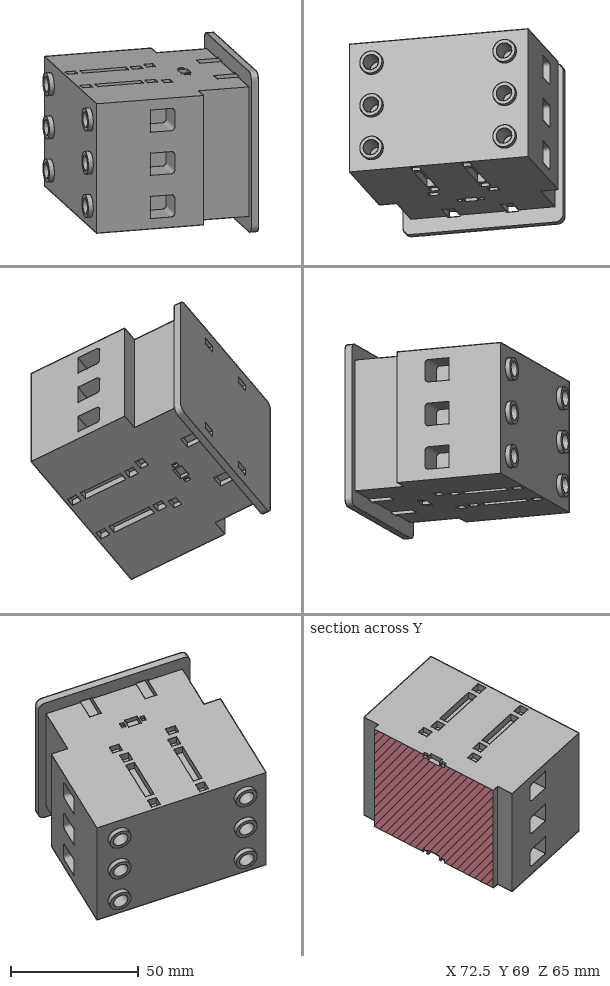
import cadquery as cq


flange_size = 65.0
flange_thickness = 2.95
flange_corner_radius = 3.0

body_width = 72.5
body_height = 52.5
neck_width = 58.4
neck_end = 23.5
block_end = 67.0
body_top = body_height / 2

terminal_pitch = 17.5
terminal_rows = (-terminal_pitch, 0, terminal_pitch)
boss_spacing = 54.0
boss_diameter = 9.0
boss_height = 2.0
screw_hole_diameter = 6.2
screw_hole_depth = 10.0
window_length = 10.0
window_height = 9.0
window_start = 35.2
window_depth = 12.0
window_corner_radius = 1.5

latch_spacing = 23.8
latch_width = 5.0
latch_end = 11.5
latch_depth = 2.7
latch_flange_clearance = 0.5

centre_size = (5.4, 4.0)
centre_position = 20.7
centre_depth = 2.0
side_size = (1.7, 2.2)
side_spacing = 8.7
side_depth = 1.5
upper_size = (4.1, 3.4)
upper_spacing = 24.1
upper_position = 31.2
upper_depth = 2.5
vent_width = 3.7
vent_spacing = 20.6
vent_depth = 3.3
short_vent_length = 4.0
long_vent_length = 18.6
short_vent_positions = (37.1, 63.6)
long_vent_position = 50.2


def box_between(width, start, end, bottom, top, x=0):
    """Box centred on x, spanning two distances from the flange face and two heights."""
    length = end - start
    height = top - bottom
    centre = (x, -(start + end) / 2, (bottom + top) / 2)
    return cq.Workplane("XY").box(width, length, height).translate(centre)


def mirrored_pair(spacing):
    return (-spacing / 2, spacing / 2)


def make_body():
    flange = box_between(flange_size, 0, flange_thickness, -flange_size / 2, flange_size / 2)
    flange = flange.edges("|Y").fillet(flange_corner_radius)
    neck = box_between(neck_width, flange_thickness, neck_end, -body_top, body_top)
    block = box_between(body_width, neck_end, block_end, -body_top, body_top)
    return flange.union(neck).union(block)


def terminal_cylinders(diameter, start, length):
    """Cylinders at all terminals, running toward -Y from a given distance from the flange face."""
    points = [(x, z) for x in mirrored_pair(boss_spacing) for z in terminal_rows]
    plane = cq.Workplane("XZ", origin=(0, -start, 0))
    return plane.pushPoints(points).circle(diameter / 2).extrude(length)


def add_terminals(part):
    part = part.union(terminal_cylinders(boss_diameter, block_end, boss_height))
    hole_start = block_end + boss_height - screw_hole_depth
    return part.cut(terminal_cylinders(screw_hole_diameter, hole_start, screw_hole_depth))


def cut_cable_windows(part):
    window_end = window_start + window_length
    for x in mirrored_pair(body_width - window_depth):
        for z in terminal_rows:
            bottom = z - window_height / 2
            top = z + window_height / 2
            window = box_between(window_depth, window_start, window_end, bottom, top, x)
            window = window.faces(">Y").edges("|X").fillet(window_corner_radius)
            part = part.cut(window)
    return part


def cut_on_both_faces(part, cutter):
    return part.cut(cutter).cut(cutter.mirror("XY"))


def cut_latch_slots(part):
    floor = body_top - latch_depth
    notch_top = body_top + latch_flange_clearance
    for x in mirrored_pair(latch_spacing):
        slot = box_between(latch_width, 0, latch_end, floor, body_top, x)
        notch = box_between(latch_width, 0, flange_thickness, floor, notch_top, x)
        part = cut_on_both_faces(part, slot.union(notch))
    return part


def cut_recess(part, size, depth, position, spacing=None):
    """Rectangular recess in the top and bottom faces, alone on the centre line or as a pair."""
    width, length = size
    places = (0,) if spacing is None else mirrored_pair(spacing)
    for x in places:
        start = position - length / 2
        recess = box_between(width, start, start + length, body_top - depth, body_top, x)
        part = cut_on_both_faces(part, recess)
    return part


def cut_face_recesses(part):
    part = cut_recess(part, centre_size, centre_depth, centre_position)
    part = cut_recess(part, side_size, side_depth, centre_position, side_spacing)
    part = cut_recess(part, upper_size, upper_depth, upper_position, upper_spacing)
    for position in short_vent_positions:
        part = cut_recess(part, (vent_width, short_vent_length), vent_depth, position, vent_spacing)
    return cut_recess(part, (vent_width, long_vent_length), vent_depth, long_vent_position, vent_spacing)


result = make_body()
result = add_terminals(result)
result = cut_cable_windows(result)
result = cut_latch_slots(result)
result = cut_face_recesses(result)